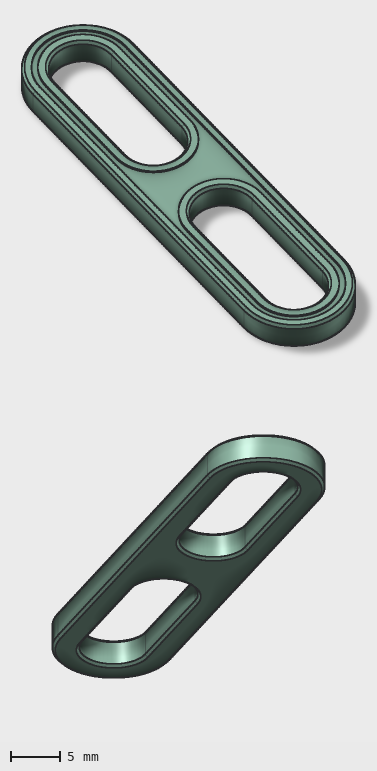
import cadquery as cq

length = 50.0
width = 12.5
thickness = 3.1
edge_chamfer = 0.3

slot_width = 7.0
slot_straight = 12.5
slot_spacing = length - width - slot_straight
slot_length = slot_straight + slot_width
slot_centers = [(-slot_spacing / 2, 0), (slot_spacing / 2, 0)]

rim_width = 1.0
collar_width = 1.1
recess_depth = 0.2
recess_floor = thickness - recess_depth


def make_plate():
    """Round-ended plate pierced by the slots, with every top and bottom edge chamfered."""
    return (
        cq.Workplane("XY")
        .slot2D(length, width)
        .extrude(thickness)
        .pushPoints(slot_centers)
        .slot2D(slot_length, slot_width)
        .cutThruAll()
        .faces("<Z or >Z")
        .edges()
        .chamfer(edge_chamfer)
    )


def make_recess():
    """Volume removed from the top face, leaving the rim and the slot collars standing."""
    pocket = (
        cq.Workplane("XY", origin=(0, 0, recess_floor))
        .slot2D(length - 2 * rim_width, width - 2 * rim_width)
        .extrude(recess_depth)
    )
    collars = (
        cq.Workplane("XY", origin=(0, 0, recess_floor))
        .pushPoints(slot_centers)
        .slot2D(slot_length + 2 * collar_width, slot_width + 2 * collar_width)
        .extrude(recess_depth)
    )
    return pocket.cut(collars)


result = make_plate().cut(make_recess())